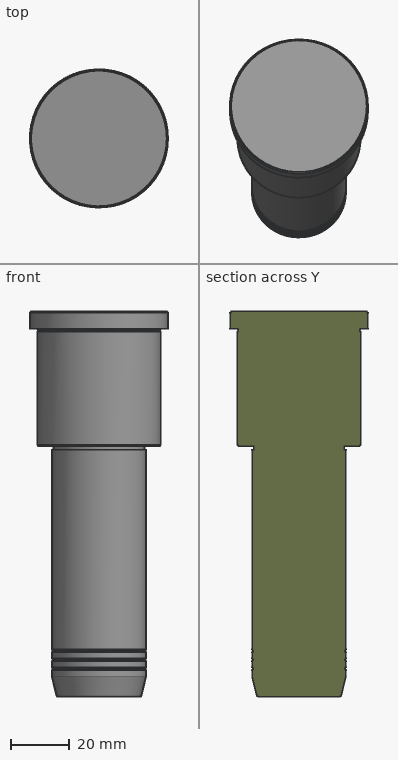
import cadquery as cq

total_height = 131.0
head_diameter = 47.0
body_diameter = 42.0
shaft_diameter = 32.1
tip_diameter = 28.7

head_thickness = 6.0
body_bottom = 85.0
tip_height = 7.0

head_chamfer = 0.5
body_chamfer = 0.5
tip_fillet = 0.5
relief_width = 1.0
relief_depth = 0.5
groove_width = 1.0
groove_depth = 0.4
groove_pitch = 3.0
groove_count = 3
first_groove_bottom = 9.0

head_bottom = total_height - head_thickness


def cylinder(diameter, bottom, top):
    return cq.Workplane("XY").workplane(offset=bottom).circle(diameter / 2).extrude(top - bottom)


def ring_groove(diameter, bottom, width, depth):
    """Square-sided ring to remove from a cylinder of the given diameter."""
    outer = cylinder(diameter, bottom, bottom + width)
    return outer.cut(cylinder(diameter - 2 * depth, bottom, bottom + width))


def vee_groove(diameter, bottom):
    """Triangular ring to remove from a cylinder, its point facing the axis."""
    radius = diameter / 2
    profile = cq.Workplane("XZ").polyline(
        [
            (radius, bottom),
            (radius - groove_depth, bottom + groove_width / 2),
            (radius, bottom + groove_width),
        ]
    )
    return profile.close().revolve(360, (0, 0, 0), (0, 1, 0))


def make_tip():
    """Tapered lead-in nose with a rounded end edge."""
    nose = (
        cq.Workplane("XY")
        .circle(tip_diameter / 2)
        .workplane(offset=tip_height)
        .circle(shaft_diameter / 2)
        .loft()
    )
    return nose.faces("<Z").edges().fillet(tip_fillet)


head = cylinder(head_diameter, head_bottom, total_height).faces(">Z").edges().chamfer(head_chamfer)
body = cylinder(body_diameter, body_bottom, head_bottom).faces("<Z").edges().chamfer(body_chamfer)
body = body.cut(vee_groove(body_diameter, head_bottom - groove_width))

shaft = cylinder(shaft_diameter, tip_height, body_bottom)
shaft = shaft.cut(ring_groove(shaft_diameter, body_bottom - relief_width, relief_width, relief_depth))
for index in range(groove_count):
    groove_bottom = first_groove_bottom + index * groove_pitch
    shaft = shaft.cut(vee_groove(shaft_diameter, groove_bottom))

result = make_tip().union(shaft).union(body).union(head)